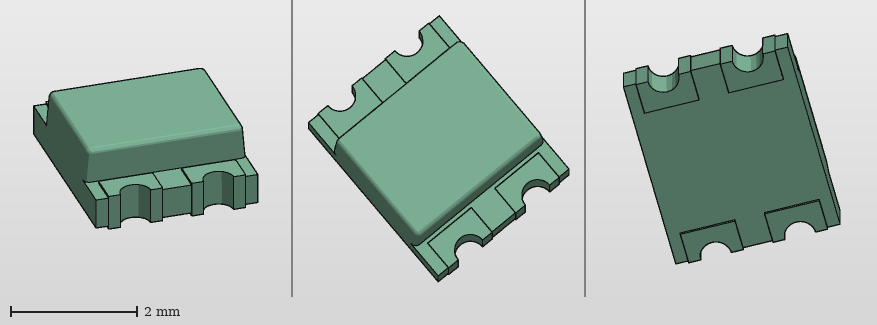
import cadquery as cq
import math

board_length = 3.22
board_width = 2.7
board_thickness = 0.51

end_plating = 0.01
top_plating = 0.035
bottom_plating = 0.05
pad_length = 0.52
pad_width = 0.9
pad_pitch = 1.385
notch_radius = 0.25

overall_height = 1.15
lens_length = 2.06
lens_lean_angle = 5.0
lens_edge_radius = 0.1

board_top = bottom_plating + board_thickness
terminal_height = board_top + top_plating
terminal_end = board_length / 2 + end_plating
lens_height = overall_height - board_top


def make_board():
    return (
        cq.Workplane("XY")
        .box(board_length, board_width, board_thickness, centered=(True, True, False))
        .translate((0, 0, bottom_plating))
    )


def make_lens():
    half_base = board_width / 2
    half_top = half_base - lens_height * math.tan(math.radians(lens_lean_angle))
    profile = [
        (-half_base, board_top),
        (half_base, board_top),
        (half_top, overall_height),
        (-half_top, overall_height),
    ]
    block = cq.Workplane("YZ").polyline(profile).close().extrude(lens_length / 2, both=True)
    return block.edges("not <Z").fillet(lens_edge_radius)


def make_terminal(side, y):
    pad_center = side * (terminal_end - pad_length / 2)
    return (
        cq.Workplane("XY")
        .center(pad_center, y)
        .rect(pad_length, pad_width)
        .extrude(terminal_height)
    )


def make_notch(side, y):
    return (
        cq.Workplane("XY")
        .center(side * terminal_end, y)
        .circle(notch_radius)
        .extrude(terminal_height)
    )


result = make_board().union(make_lens())
for side in (-1, 1):
    for y in (-pad_pitch / 2, pad_pitch / 2):
        result = result.union(make_terminal(side, y)).cut(make_notch(side, y))